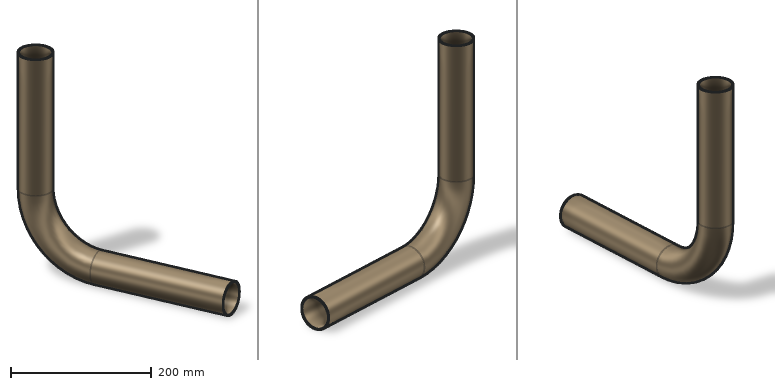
import cadquery as cq

overall_length = 342.0
outer_diameter = 51.0
inner_diameter = 48.0
bend_radius = 101.5

outer_radius = outer_diameter / 2
leg_length = overall_length - outer_radius - bend_radius


def straight_leg(plane):
    """Tube running along the normal of the plane, starting at its origin."""
    return (
        cq.Workplane(plane)
        .circle(outer_radius)
        .circle(inner_diameter / 2)
        .extrude(leg_length)
    )


def quarter_bend():
    """Quarter-turn tube from the +Z leg to the +X leg, about a centre at (bend_radius, 0, bend_radius)."""
    return (
        cq.Workplane("XY", origin=(0, 0, bend_radius))
        .circle(outer_radius)
        .circle(inner_diameter / 2)
        .revolve(90, (bend_radius, 0, 0), (bend_radius, -1, 0))
    )


vertical_leg = straight_leg(cq.Plane(origin=(0, 0, bend_radius), normal=(0, 0, 1)))
horizontal_leg = straight_leg(cq.Plane(origin=(bend_radius, 0, 0), xDir=(0, 1, 0), normal=(1, 0, 0)))

result = quarter_bend().union(vertical_leg).union(horizontal_leg)